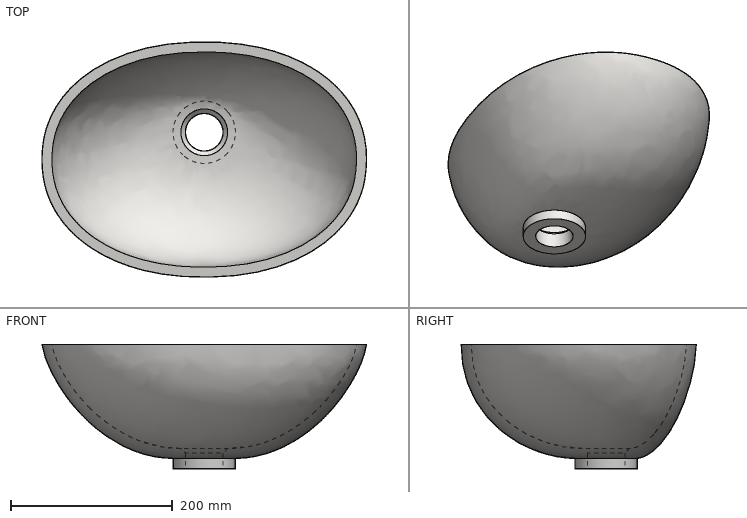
import cadquery as cq
import math

length = 401.0
width = 291.0
height = 154.0

collar_diameter = 77.0
collar_height = 13.0
drain_y = 33.5
drain_diameter = 46.0
drain_mouth_diameter = 57.8

outer_floor_diameter = 74.0
inner_floor_diameter = 59.5

wall = 12.5
bowl_depth = height - collar_height
cavity_depth = bowl_depth - wall

rim_exponent = 2.15
floor_exponent = 2.0
side_fall, side_round = 1.4, 2.0
back_fall, back_round = 1.6, 1.8
front_fall, front_round = 2.1, 1.9

section_count = 10
points_per_section = 32


def reach(rim, floor, t, fall, rounding):
    """Distance from the drain axis to the wall at depth fraction t."""
    return floor + (rim - floor) * (1 - t**fall) ** (1 / rounding)


def signed_power(value, exponent):
    """Power of the magnitude, keeping the sign."""
    return math.copysign(abs(value) ** exponent, value)


def section_wire(half_x, half_y, center_y, z, exponent):
    """Closed smooth superellipse at height z."""
    points = []
    for i in range(points_per_section):
        angle = 2 * math.pi * i / points_per_section
        x = half_x * signed_power(math.cos(angle), 2 / exponent)
        y = center_y + half_y * signed_power(math.sin(angle), 2 / exponent)
        points.append(cq.Vector(x, y, z))
    return cq.Wire.assembleEdges([cq.Edge.makeSpline(points, periodic=True)])


def bowl_body(inset, depth, floor_radius):
    """Solid bowl shape, its rim set in from the outer rim by inset."""
    rim_x = length / 2 - inset
    rim_y = width / 2 - inset
    wires = []
    for i in range(section_count):
        t = math.sin(math.pi / 2 * i / (section_count - 1))
        half_x = reach(rim_x, floor_radius, t, side_fall, side_round)
        back = reach(rim_y - drain_y, floor_radius, t, back_fall, back_round)
        front = reach(rim_y + drain_y, floor_radius, t, front_fall, front_round)
        center_y = drain_y + (back - front) / 2
        exponent = rim_exponent + (floor_exponent - rim_exponent) * t
        wires.append(section_wire(half_x, (back + front) / 2, center_y, -depth * t, exponent))
    return cq.Workplane(cq.Solid.makeLoft(wires))


def drain_cylinder(diameter, bottom, top):
    return (
        cq.Workplane("XY", origin=(0, drain_y, bottom))
        .circle(diameter / 2)
        .extrude(top - bottom)
    )


outer = bowl_body(0, bowl_depth, outer_floor_diameter / 2)
cavity = bowl_body(wall, cavity_depth, inner_floor_diameter / 2)
collar = drain_cylinder(collar_diameter, -height, -cavity_depth - wall / 2)
basin = outer.union(collar).cut(cavity)

mouth_depth = (drain_mouth_diameter - drain_diameter) / 2
drain_hole = drain_cylinder(drain_diameter, -height, -cavity_depth)
drain_mouth = cq.Workplane(
    cq.Solid.makeCone(
        drain_diameter / 2,
        drain_mouth_diameter / 2,
        mouth_depth,
        pnt=cq.Vector(0, drain_y, -cavity_depth - mouth_depth),
    )
)
result = basin.cut(drain_hole).cut(drain_mouth)